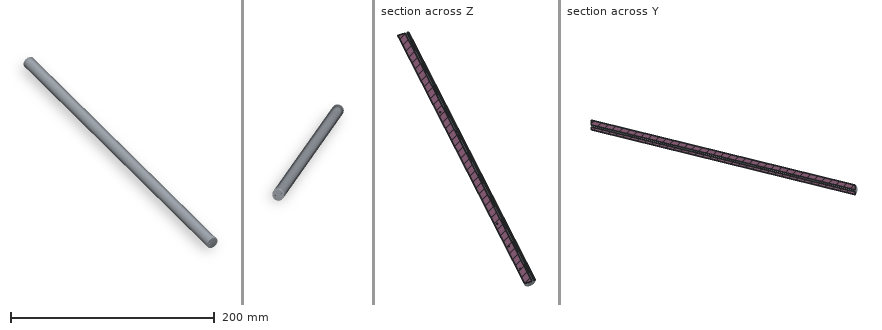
import cadquery as cq

rod_length = 330.0
rod_diameter = 12.0
end_chamfer = 0.6

bore_diameter = 1.5
bore_offset_y = 3.0
bore_offset_z = -1.0


def make_rod():
    """Rod with a chamfer around the rim at X = 0; the other end is square."""
    rod = cq.Workplane("YZ").circle(rod_diameter / 2).extrude(rod_length)
    return rod.faces("<X").chamfer(end_chamfer)


def make_bores():
    """Cutters for the pair of bores, as long as the rod."""
    centres = [(side * bore_offset_y, side * bore_offset_z) for side in (1, -1)]
    return cq.Workplane("YZ").pushPoints(centres).circle(bore_diameter / 2).extrude(rod_length)


result = make_rod().cut(make_bores())